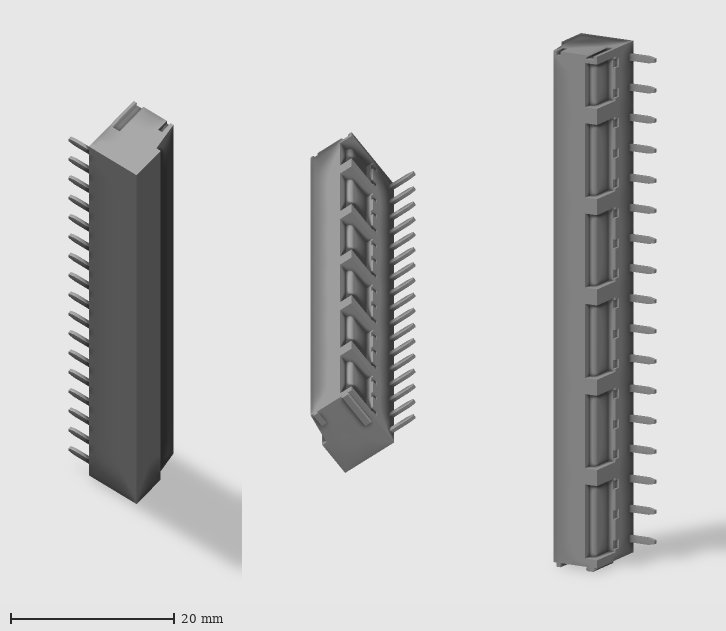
import cadquery as cq

overall_length = 65.3
contact_count = 17
tongue_height = 0.5
body_length = overall_length - tongue_height
pitch = body_length / contact_count
body_width = 7.4
body_depth = 9.0

shoulder_y = 4.85
shoulder_width = 0.65
back_width = 6.15

pin_length = 3.5
pin_thickness = 0.45
pin_height = 0.85
pin_tip_height = 0.45
pin_taper_length = 0.85
pin_center_y = 0.7
pin_root_depth = 0.65

contacts_per_recess = 3
section_height = contacts_per_recess * pitch
rib_height = 2.0
recess_width = 4.6
recess_depth = 1.0
recess_deep_depth = 1.7
recess_deep_width = 1.25
recess_edge_radius = 0.6

notch_width = 0.85
notch_depth = 0.3
notch_height = 1.1

dovetail_x = 1.0
dovetail_root_width = 0.85
dovetail_wide_width = 1.2
dovetail_chamfer = 0.2
dovetail_length = 4.85
groove_mouth_width = 1.2
groove_flare_depth = 0.2

rail_x = 5.4
rail_width = 0.6
rail_length = 1.75


def contact_z(index):
    """Height of a contact, counted from the bottom of the row."""
    return (index + 0.5) * pitch


def make_body():
    outline = [
        (0, 0),
        (body_width, 0),
        (body_width, shoulder_y),
        (body_width - shoulder_width, shoulder_y),
        (back_width, body_depth),
        (0, body_depth),
    ]
    return cq.Workplane("XY").polyline(outline).close().extrude(body_length)


def make_recess(bottom, top):
    """Stepped pocket, open to the back and to the pin side, with a rounded step edge."""
    deep_y = body_depth - recess_deep_width
    near_y = body_depth - recess_width
    pocket = (
        cq.Workplane("XY")
        .moveTo(0, body_depth)
        .lineTo(recess_deep_depth, body_depth)
        .lineTo(recess_deep_depth, deep_y)
        .lineTo(recess_depth + recess_edge_radius, deep_y)
        .radiusArc((recess_depth, deep_y - recess_edge_radius), -recess_edge_radius)
        .lineTo(recess_depth, near_y)
        .lineTo(0, near_y)
        .close()
        .extrude(top - bottom)
    )
    return pocket.translate((0, 0, bottom))


def make_notch(center_z):
    near_y = body_depth - recess_width - notch_width
    return cq.Workplane("XY").box(
        notch_depth, notch_width, notch_height, centered=(False, False, True)
    ).translate((0, near_y, center_z))


def make_pin(center_z):
    half_height = pin_height / 2
    half_tip = pin_tip_height / 2
    taper_x = pin_taper_length - pin_length
    outline = [
        (pin_root_depth, -half_height),
        (pin_root_depth, half_height),
        (taper_x, half_height),
        (-pin_length, half_tip),
        (-pin_length, -half_tip),
        (taper_x, -half_height),
    ]
    pin = cq.Workplane("XZ").polyline(outline).close().extrude(pin_thickness / 2, both=True)
    return pin.translate((0, pin_center_y, center_z))


def make_dovetail():
    """Dovetail hanging below Z = 0, with its lower edges chamfered."""
    half_root = dovetail_root_width / 2
    half_wide = dovetail_wide_width / 2
    half_tip = half_wide - dovetail_chamfer
    wide_z = dovetail_chamfer - tongue_height
    outline = [
        (dovetail_x - half_root, 0),
        (dovetail_x - half_wide, wide_z),
        (dovetail_x - half_tip, -tongue_height),
        (dovetail_x + half_tip, -tongue_height),
        (dovetail_x + half_wide, wide_z),
        (dovetail_x + half_root, 0),
    ]
    tongue = cq.Workplane("XZ").polyline(outline).close().extrude(dovetail_length)
    return tongue.translate((0, body_depth, 0))


def make_groove():
    """Groove in the upper end: flared mouth, then widening again to hold a dovetail."""
    half_mouth = groove_mouth_width / 2
    half_throat = dovetail_root_width / 2
    half_floor = dovetail_wide_width / 2
    outline = [
        (dovetail_x - half_mouth, 0),
        (dovetail_x + half_mouth, 0),
        (dovetail_x + half_throat, -groove_flare_depth),
        (dovetail_x + half_floor, -tongue_height),
        (dovetail_x - half_floor, -tongue_height),
        (dovetail_x - half_throat, -groove_flare_depth),
    ]
    groove = cq.Workplane("XZ").polyline(outline).close().extrude(dovetail_length)
    return groove.translate((0, body_depth, body_length))


def make_rail():
    """Rectangular rail hanging below Z = 0."""
    return cq.Workplane("XY").box(
        rail_width, rail_length, tongue_height, centered=(True, False, False)
    ).translate((rail_x, body_depth - rail_length, -tongue_height))


body = make_body()

for first_contact in range(0, contact_count, contacts_per_recess):
    section_bottom = first_contact * pitch
    section_top = min(section_bottom + section_height, body_length)
    body = body.cut(make_recess(section_bottom + rib_height / 2, section_top - rib_height / 2))

for contact in range(contact_count):
    body = body.cut(make_notch(contact_z(contact)))
    body = body.union(make_pin(contact_z(contact)))

rail = make_rail()
body = body.cut(make_groove())
body = body.cut(rail.translate((0, 0, body_length)))
body = body.union(make_dovetail())
body = body.union(rail)

result = body